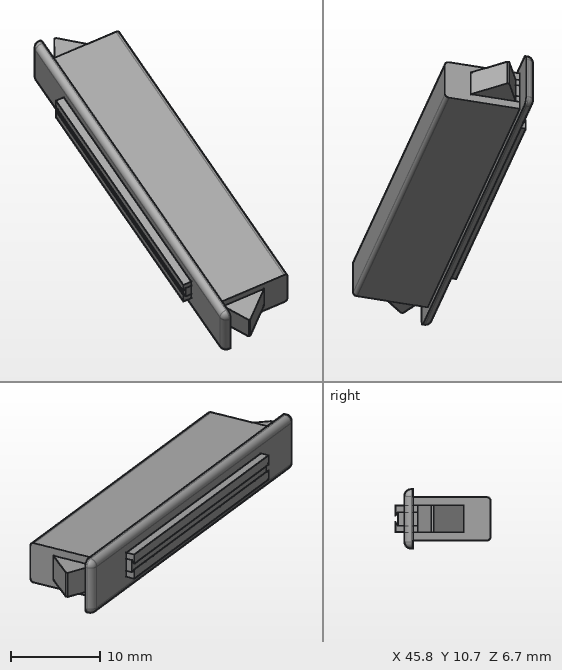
import cadquery as cq


BEZEL_LENGTH = 45.0
BEZEL_HEIGHT = 6.7
BEZEL_THICKNESS = 1.0
BEZEL_RADIUS = 0.8

BOX_LENGTH = 39.6
BOX_HEIGHT = 4.9
BOX_BACK = 9.7
BOX_EDGE_RADIUS = 0.45

CARRIER_HEIGHT = 3.0
RAIL_LENGTH = 30.0
RAIL_FRONT = -1.0
LIP_THICKNESS = 0.3
SLOT_MOUTH_HEIGHT = 0.7

CLIP_SPAN = 45.75
CLIP_FRONT = 1.5
CLIP_BACK = 6.7
CLIP_TIP_FRONT = 3.05
CLIP_TIP_BACK = 3.3

INSERT_HEIGHT = 1.5
INSERT_FRONT = RAIL_FRONT + LIP_THICKNESS
INSERT_BACK = CLIP_FRONT


def block(length, height, front, back):
    """Box centred on X and Z, reaching from front to back along Y."""
    return cq.Workplane("XY").box(length, back - front, height).translate((0, (front + back) / 2, 0))


def tee(height, front, back):
    """T-shaped bar: as long as the box behind the bezel, as long as the rail in front of it."""
    wide_part = block(BOX_LENGTH, height, BEZEL_THICKNESS, back)
    narrow_part = block(RAIL_LENGTH, height, front, BEZEL_THICKNESS)
    return wide_part.union(narrow_part)


def make_housing():
    bezel = block(BEZEL_LENGTH, BEZEL_HEIGHT, 0, BEZEL_THICKNESS)
    bezel = bezel.edges("|Y").fillet(BEZEL_RADIUS)
    bezel = bezel.faces("<Y").edges().fillet(BEZEL_RADIUS)

    box = block(BOX_LENGTH, BOX_HEIGHT, BEZEL_THICKNESS, BOX_BACK)
    box = box.faces(">Y").edges("|X").fillet(BOX_EDGE_RADIUS)

    carrier_recess = tee(CARRIER_HEIGHT, RAIL_FRONT, CLIP_BACK)
    return bezel.union(box).cut(carrier_recess)


def make_clip(side):
    """Wedge on one end of the carrier; side is -1 or 1 along X."""
    root = side * BOX_LENGTH / 2
    tip = side * CLIP_SPAN / 2
    outline = [
        (root, CLIP_FRONT),
        (tip, CLIP_TIP_FRONT),
        (tip, CLIP_TIP_BACK),
        (root, CLIP_BACK),
    ]
    return cq.Workplane("XY").polyline(outline).close().extrude(CARRIER_HEIGHT / 2, both=True)


def make_slot():
    """Dovetail slot in the rail: narrow at the mouth, as high as the insert at its floor."""
    mouth = SLOT_MOUTH_HEIGHT / 2
    floor = INSERT_HEIGHT / 2
    outline = [
        (RAIL_FRONT, -mouth),
        (INSERT_FRONT, -floor),
        (INSERT_FRONT, floor),
        (RAIL_FRONT, mouth),
    ]
    return cq.Workplane("YZ").polyline(outline).close().extrude(RAIL_LENGTH / 2, both=True)


def make_carrier():
    carrier = tee(CARRIER_HEIGHT, RAIL_FRONT, CLIP_BACK)
    for side in (-1, 1):
        carrier = carrier.union(make_clip(side))
    return carrier.cut(make_slot()).cut(make_insert())


def make_insert():
    return tee(INSERT_HEIGHT, INSERT_FRONT, INSERT_BACK)


housing = make_housing()
carrier = make_carrier()
insert = make_insert()

bodies = [housing, carrier, insert]
result = cq.Compound.makeCompound([body.solids().val() for body in bodies])